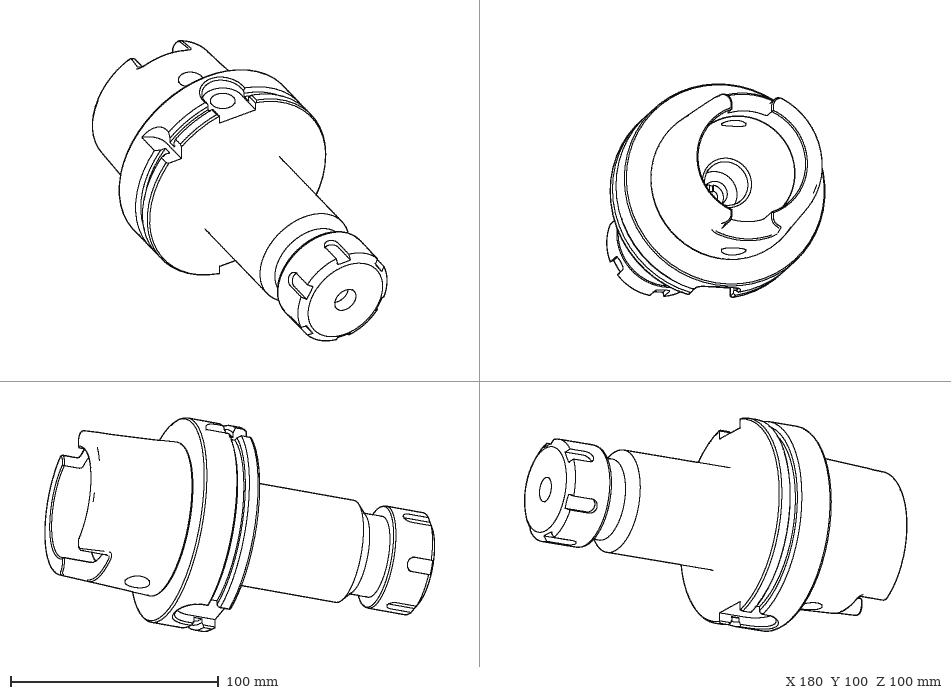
import cadquery as cq

FLANGE_FACE_X = 50.0
SHANK_TAPER_LENGTH = 47.2
SHANK_LARGE_RADIUS = 37.6
TAPER_SLOPE = 0.05
SHANK_SMALL_RADIUS = SHANK_LARGE_RADIUS - TAPER_SLOPE * SHANK_TAPER_LENGTH
SHANK_END_FILLET = 1.6
RELIEF_START_X = 48.2
RELIEF_BOTTOM_X = 49.0
RELIEF_END_X = 49.5
RELIEF_RADIUS = 37.0
RELIEF_END_RADIUS = 38.0
FACE_RECESS_RADIUS = 39.8

CAVITY_RADIUS = 26.8
INNER_CAVITY_RADIUS = 26.6
CAVITY_STEP_X = 20.3
CAVITY_DEPTH = 46.8
CAVITY_MOUTH_CHAMFER = 0.7
CAVITY_FLOOR_FILLET = 1.6
COOLANT_BORE_RADIUS = 10.8
COOLANT_BORE_DEPTH = 21.6
COOLANT_BORE_CHAMFER = 1.5

KEYWAY_HALF_WIDTH = 9.9
KEYWAY_EDGE_RADIUS = 4.7
KEYWAY_LAND_HEIGHT = 32.4
KEYWAY_END_FILLET = 1.6
KEYWAY_MOUTH_CHAMFER = 0.7
UPPER_KEYWAY_DEPTH = 9.9
LOWER_KEYWAY_DEPTH = 15.3

CROSS_HOLE_RADIUS = 6.0
CROSS_HOLE_X = 34.5

FLANGE_RADIUS = 50.0
FLANGE_WIDTH = 28.6
FLANGE_END_X = FLANGE_FACE_X + FLANGE_WIDTH
FLANGE_CHAMFER_LENGTH = 1.0
FLANGE_CHAMFER_HEIGHT = 0.7
GROOVE_LEFT_X = 67.9
GROOVE_RIGHT_X = 71.8
GROOVE_RADIUS = 45.9
GROOVE_CHAMFER_WIDTH = 1.3
GROOVE_CHAMFER_DEPTH = 2.2

SLOT_RADIUS = 10.0
SLOT_CENTER_X = 64.6
SLOT_FLOOR_HEIGHT = 44.0
SLOT_RIM_CHAMFER = 1.0
CHIP_HOLE_RADIUS = 6.0
CHIP_HOLE_DEPTH = 10.8
NOTCH_WALL_Y = -31.5
NOTCH_FLOOR_Z = 30.8

BODY_RADIUS = 25.0
BODY_ROOT_FILLET = 5.0
BODY_END_X = 141.7
NECK_START_X = 146.9
NECK_RADIUS = 19.8
NOSE_END_X = 172.8

NUT_START_X = 157.3
NUT_END_X = 180.0
NUT_BACK_CHAMFER_LENGTH = 1.0
NUT_BACK_CHAMFER_HEIGHT = 0.4
NUT_FRONT_CHAMFER_LENGTH = 2.7
NUT_FRONT_RADIUS = 20.9
NUT_SLOT_COUNT = 6
NUT_SLOT_WIDTH = 7.0
NUT_SLOT_FLOOR_RADIUS = 22.3
LONG_SLOT_START_X = 163.6
SHORT_SLOT_START_X = 165.6

BORE_RADIUS = 6.0
SCREW_START_X = 75.6
SCREW_LENGTH = 21.6
SCREW_HOLE_RADIUS = 3.0
SCREW_SLOT_WIDTH = 2.0
SCREW_SLOT_DEPTH = 1.8


def x_cylinder(radius, start_x, end_x):
    """Solid cylinder on the X axis."""
    return cq.Workplane("YZ", origin=(start_x, 0, 0)).circle(radius).extrude(end_x - start_x)


def revolve_about_x(profile):
    """Turn a closed (x, radius) outline around the X axis."""
    return profile.close().revolve(360, (0, 0, 0), (1, 0, 0))


def shank_and_flange():
    """Turned outer shape from the shank end to the flange end, without its V groove."""
    return revolve_about_x(
        cq.Workplane("XY")
        .moveTo(0, 0)
        .lineTo(0, SHANK_SMALL_RADIUS)
        .lineTo(SHANK_TAPER_LENGTH, SHANK_LARGE_RADIUS)
        .lineTo(RELIEF_START_X, SHANK_LARGE_RADIUS)
        .lineTo(RELIEF_BOTTOM_X, RELIEF_RADIUS)
        .lineTo(RELIEF_END_X, RELIEF_END_RADIUS)
        .lineTo(FLANGE_FACE_X, FACE_RECESS_RADIUS)
        .lineTo(FLANGE_FACE_X, FLANGE_RADIUS - FLANGE_CHAMFER_HEIGHT)
        .lineTo(FLANGE_FACE_X + FLANGE_CHAMFER_LENGTH, FLANGE_RADIUS)
        .lineTo(FLANGE_END_X - FLANGE_CHAMFER_LENGTH, FLANGE_RADIUS)
        .lineTo(FLANGE_END_X, FLANGE_RADIUS - FLANGE_CHAMFER_HEIGHT)
        .lineTo(FLANGE_END_X, 0)
    ).edges(cq.selectors.BoxSelector((-0.2, -FLANGE_RADIUS, -FLANGE_RADIUS),
                                     (0.2, FLANGE_RADIUS, FLANGE_RADIUS))).fillet(SHANK_END_FILLET)


def extension():
    """Cylindrical extension with a concave root at the flange and a nose that enters the nut."""
    return revolve_about_x(
        cq.Workplane("XY")
        .moveTo(FLANGE_END_X, 0)
        .lineTo(FLANGE_END_X, BODY_RADIUS + BODY_ROOT_FILLET)
        .radiusArc((FLANGE_END_X + BODY_ROOT_FILLET, BODY_RADIUS), -BODY_ROOT_FILLET)
        .lineTo(BODY_END_X, BODY_RADIUS)
        .lineTo(NECK_START_X, NECK_RADIUS)
        .lineTo(NOSE_END_X, NECK_RADIUS)
        .lineTo(NOSE_END_X, 0)
    )


def flange_groove():
    """Ring cut for the gripper groove: straight walls that open out in a chamfer at the rim."""
    chamfer_bottom = FLANGE_RADIUS - GROOVE_CHAMFER_DEPTH
    clear_radius = FLANGE_RADIUS + 1.8
    return revolve_about_x(
        cq.Workplane("XY")
        .moveTo(GROOVE_LEFT_X, GROOVE_RADIUS)
        .lineTo(GROOVE_LEFT_X, chamfer_bottom)
        .lineTo(GROOVE_LEFT_X - GROOVE_CHAMFER_WIDTH, FLANGE_RADIUS)
        .lineTo(GROOVE_LEFT_X - GROOVE_CHAMFER_WIDTH, clear_radius)
        .lineTo(GROOVE_RIGHT_X + GROOVE_CHAMFER_WIDTH, clear_radius)
        .lineTo(GROOVE_RIGHT_X + GROOVE_CHAMFER_WIDTH, FLANGE_RADIUS)
        .lineTo(GROOVE_RIGHT_X, chamfer_bottom)
        .lineTo(GROOVE_RIGHT_X, GROOVE_RADIUS)
    )


def shank_cavity():
    """Stepped cavity of the shank, with a mouth chamfer, a rounded floor and the coolant bore."""
    coolant_mouth_radius = COOLANT_BORE_RADIUS + COOLANT_BORE_CHAMFER
    return revolve_about_x(
        cq.Workplane("XY")
        .moveTo(0, 0)
        .lineTo(0, CAVITY_RADIUS + CAVITY_MOUTH_CHAMFER)
        .lineTo(CAVITY_MOUTH_CHAMFER, CAVITY_RADIUS)
        .lineTo(CAVITY_STEP_X, CAVITY_RADIUS)
        .lineTo(CAVITY_STEP_X, INNER_CAVITY_RADIUS)
        .lineTo(CAVITY_DEPTH - CAVITY_FLOOR_FILLET, INNER_CAVITY_RADIUS)
        .radiusArc((CAVITY_DEPTH, INNER_CAVITY_RADIUS - CAVITY_FLOOR_FILLET), CAVITY_FLOOR_FILLET)
        .lineTo(CAVITY_DEPTH, coolant_mouth_radius)
        .lineTo(CAVITY_DEPTH + COOLANT_BORE_CHAMFER, COOLANT_BORE_RADIUS)
        .lineTo(CAVITY_DEPTH + COOLANT_BORE_DEPTH, COOLANT_BORE_RADIUS)
        .lineTo(CAVITY_DEPTH + COOLANT_BORE_DEPTH, 0)
    )


def keyway(depth):
    """Keyway on the +Z side: a slot with rounded upper edges that spreads out over flat lands."""
    land_start = KEYWAY_HALF_WIDTH + KEYWAY_EDGE_RADIUS
    wall_top = KEYWAY_LAND_HEIGHT - KEYWAY_EDGE_RADIUS
    outer = SHANK_LARGE_RADIUS + 1.8
    return (
        cq.Workplane("YZ")
        .moveTo(-KEYWAY_HALF_WIDTH, 0)
        .lineTo(-KEYWAY_HALF_WIDTH, wall_top)
        .radiusArc((-land_start, KEYWAY_LAND_HEIGHT), -KEYWAY_EDGE_RADIUS)
        .lineTo(-outer, KEYWAY_LAND_HEIGHT)
        .lineTo(-outer, outer)
        .lineTo(outer, outer)
        .lineTo(outer, KEYWAY_LAND_HEIGHT)
        .lineTo(land_start, KEYWAY_LAND_HEIGHT)
        .radiusArc((KEYWAY_HALF_WIDTH, wall_top), -KEYWAY_EDGE_RADIUS)
        .lineTo(KEYWAY_HALF_WIDTH, 0)
        .close()
        .extrude(depth)
        .faces(">X")
        .edges("not(<Z or >Z or <Y or >Y)")
        .fillet(KEYWAY_END_FILLET)
    )


def u_slot(center_y, floor_z):
    """U-shaped cutter, round toward the shank and open through the flange end, above floor_z."""
    top_z = FLANGE_RADIUS + 1.8
    outline_plane = cq.Workplane("XY", origin=(SLOT_CENTER_X, center_y, floor_z))
    straight_length = FLANGE_END_X - SLOT_CENTER_X
    return (
        outline_plane
        .moveTo(straight_length, SLOT_RADIUS)
        .lineTo(0, SLOT_RADIUS)
        .threePointArc((-SLOT_RADIUS, 0), (0, -SLOT_RADIUS))
        .lineTo(straight_length, -SLOT_RADIUS)
        .close()
        .extrude(top_z - floor_z)
    )


def chip_hole():
    """Blind hole in the floor of a grip slot."""
    return (
        cq.Workplane("XY", origin=(SLOT_CENTER_X, 0, SLOT_FLOOR_HEIGHT))
        .circle(CHIP_HOLE_RADIUS)
        .extrude(-CHIP_HOLE_DEPTH)
    )


def opposite(shape):
    """The same shape turned half way round the X axis."""
    return shape.rotate((0, 0, 0), (1, 0, 0), 180)


def slotted_blank():
    """Plain cylinder as wide as the flange, with both grip slots and their rim chamfers."""
    grip_slot = u_slot(0, SLOT_FLOOR_HEIGHT)
    blank = x_cylinder(FLANGE_RADIUS, 0, FLANGE_END_X).cut(grip_slot).cut(opposite(grip_slot))
    inner_x = SLOT_CENTER_X - SLOT_RADIUS - 1.8
    upper_rim = cq.selectors.BoxSelector(
        (inner_x, -SLOT_RADIUS - 1.8, SLOT_FLOOR_HEIGHT + 1.8), (FLANGE_END_X - 1.8, SLOT_RADIUS + 1.8, FLANGE_RADIUS + 1.8)
    )
    lower_rim = cq.selectors.BoxSelector(
        (inner_x, -SLOT_RADIUS - 1.8, -FLANGE_RADIUS - 1.8), (FLANGE_END_X - 1.8, SLOT_RADIUS + 1.8, -SLOT_FLOOR_HEIGHT - 1.8)
    )
    return blank.edges(upper_rim + lower_rim).chamfer(SLOT_RIM_CHAMFER)


def keyway_mouth_edges():
    """Selector for the keyway walls' edges on the shank end face."""
    reach_y = KEYWAY_HALF_WIDTH + KEYWAY_EDGE_RADIUS
    return cq.selectors.BoxSelector((-0.2, -reach_y, -SHANK_SMALL_RADIUS), (0.2, reach_y, SHANK_SMALL_RADIUS))


def make_housing():
    """Tool holder: hollow shank, flange and extension."""
    body = shank_and_flange().intersect(slotted_blank())
    body = body.cut(u_slot(NOTCH_WALL_Y - SLOT_RADIUS, NOTCH_FLOOR_Z))
    body = body.cut(flange_groove()).cut(chip_hole())
    body = body.union(extension()).cut(shank_cavity())
    body = body.cut(keyway(UPPER_KEYWAY_DEPTH)).cut(opposite(keyway(LOWER_KEYWAY_DEPTH)))
    body = body.edges(keyway_mouth_edges()).chamfer(KEYWAY_MOUTH_CHAMFER)
    cross_hole = (
        cq.Workplane("XY", origin=(CROSS_HOLE_X, 0, -FLANGE_RADIUS))
        .circle(CROSS_HOLE_RADIUS)
        .extrude(2 * FLANGE_RADIUS)
    )
    return body.cut(cross_hole).cut(x_cylinder(BORE_RADIUS, CAVITY_DEPTH, NOSE_END_X))


def nut_slot(start_x):
    """Spanner slot on the +Z side of the nut: flat floor, round inner end, open at the front."""
    round_center_x = start_x + NUT_SLOT_WIDTH / 2
    slot_length = NUT_END_X - round_center_x
    slot_depth = BODY_RADIUS - NUT_SLOT_FLOOR_RADIUS
    plane = cq.Workplane("XY", origin=(round_center_x, 0, NUT_SLOT_FLOOR_RADIUS))
    round_end = plane.circle(NUT_SLOT_WIDTH / 2).extrude(slot_depth)
    straight = plane.center(slot_length / 2, 0).rect(slot_length, NUT_SLOT_WIDTH).extrude(slot_depth)
    return straight.union(round_end)


def make_nut():
    """Clamping nut: a cap over the nose, with a centre hole and spanner slots around its rim."""
    nut = revolve_about_x(
        cq.Workplane("XY")
        .moveTo(NUT_START_X, NECK_RADIUS)
        .lineTo(NUT_START_X, BODY_RADIUS - NUT_BACK_CHAMFER_HEIGHT)
        .lineTo(NUT_START_X + NUT_BACK_CHAMFER_LENGTH, BODY_RADIUS)
        .lineTo(NUT_END_X - NUT_FRONT_CHAMFER_LENGTH, BODY_RADIUS)
        .lineTo(NUT_END_X, NUT_FRONT_RADIUS)
        .lineTo(NUT_END_X, BORE_RADIUS)
        .lineTo(NOSE_END_X, BORE_RADIUS)
        .lineTo(NOSE_END_X, NECK_RADIUS)
    )
    for index in range(NUT_SLOT_COUNT):
        start_x = SHORT_SLOT_START_X if index % 3 == 2 else LONG_SLOT_START_X
        angle = index * 360 / NUT_SLOT_COUNT
        nut = nut.cut(nut_slot(start_x).rotate((0, 0, 0), (1, 0, 0), angle))
    return nut


def make_stop_screw():
    """Stop screw in the centre bore, with a through hole and a driver slot in its rear face."""
    end_x = SCREW_START_X + SCREW_LENGTH
    screw = x_cylinder(BORE_RADIUS, SCREW_START_X, end_x)
    screw = screw.cut(x_cylinder(SCREW_HOLE_RADIUS, SCREW_START_X, end_x))
    driver_slot = cq.Workplane("YZ", origin=(SCREW_START_X, 0, 0)).rect(SCREW_SLOT_WIDTH, 2 * BORE_RADIUS)
    return screw.cut(driver_slot.extrude(SCREW_SLOT_DEPTH))


housing = make_housing()
nut = make_nut()
stop_screw = make_stop_screw()

result = cq.Compound.makeCompound([housing.val(), nut.val(), stop_screw.val()])